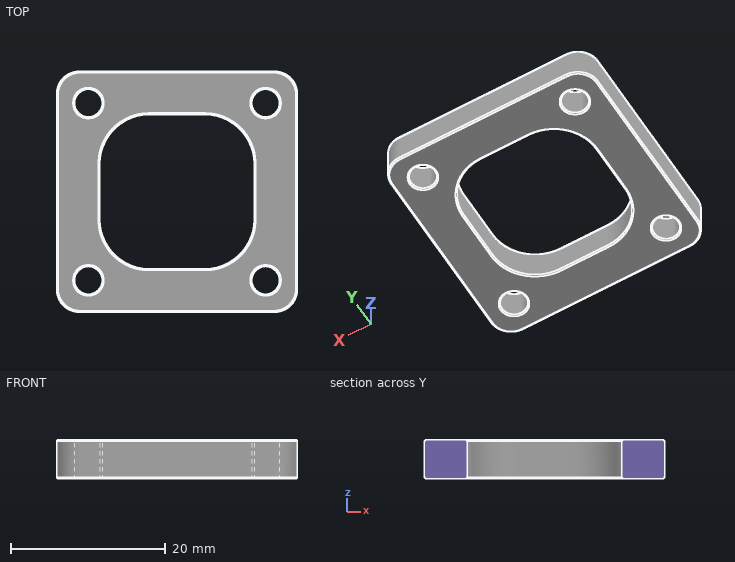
import cadquery as cq

side = 31.2
thickness = 5.1
corner_radius = 3.0

opening_side = 20.0
opening_radius = 6.4

hole_diameter = 3.6
hole_spacing = 22.95

edge_chamfer = 0.2


def rounded_block(width, radius):
    """Square block of the plate's thickness with rounded vertical edges."""
    block = cq.Workplane("XY").box(width, width, thickness, centered=(True, True, False))
    return block.edges("|Z").fillet(radius)


def cut_mounting_holes(body):
    """Drill one through hole near each corner."""
    return (
        body.faces(">Z")
        .workplane(origin=(0, 0, thickness))
        .rect(hole_spacing, hole_spacing, forConstruction=True)
        .vertices()
        .hole(hole_diameter)
    )


plate = rounded_block(side, corner_radius)
plate = plate.cut(rounded_block(opening_side, opening_radius))
plate = cut_mounting_holes(plate)
result = plate.faces("<Z or >Z").edges().chamfer(edge_chamfer)